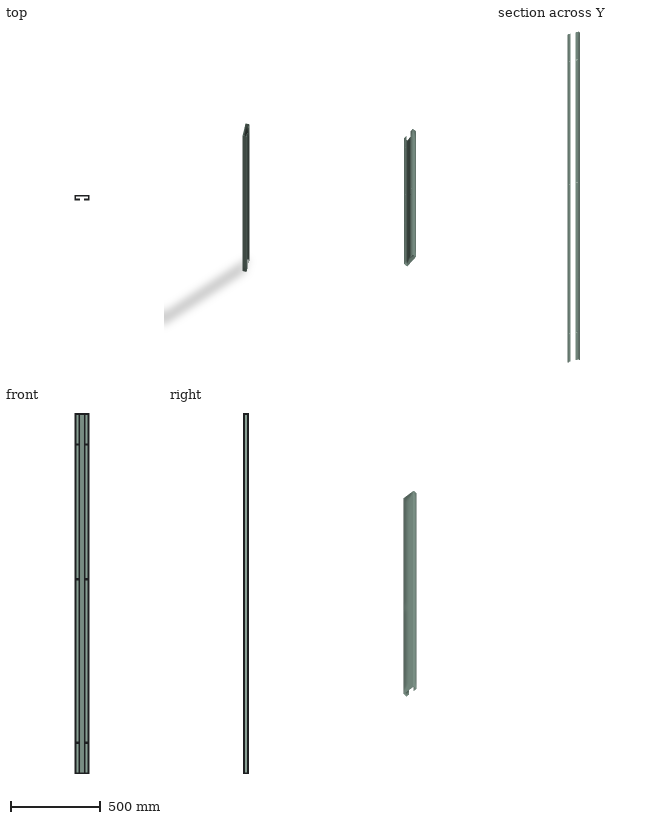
import cadquery as cq

WIDTH = 75.0
DEPTH = 23.0
LENGTH = 2000.0

THICKNESS = 1.25
SLOT_WIDTH = 33.0
INNER_RADIUS = 0.5
OUTER_RADIUS = INNER_RADIUS + THICKNESS

HOLE_DIAMETER = 5.0
HOLE_EDGE_DISTANCE = 12.0
END_HOLE_DISTANCE = 170.0
MIDDLE_HOLE_HEIGHT = 1080.0
HOLE_HEIGHTS = (END_HOLE_DISTANCE, MIDDLE_HOLE_HEIGHT, LENGTH - END_HOLE_DISTANCE)


def rounded_bar(width, depth, radius):
    """Full-length bar, centred in X and Y, with rounded long edges."""
    bar = cq.Workplane("XY").rect(width, depth).extrude(LENGTH)
    return bar.edges("|Z").fillet(radius)


def channel():
    """C-shaped channel, open along the middle of its -Y face."""
    outside = rounded_bar(WIDTH, DEPTH, OUTER_RADIUS)
    inside = rounded_bar(WIDTH - 2 * THICKNESS, DEPTH - 2 * THICKNESS, INNER_RADIUS)
    slot = (
        cq.Workplane("XY")
        .center(0, -DEPTH / 4)
        .rect(SLOT_WIDTH, DEPTH / 2)
        .extrude(LENGTH)
    )
    return outside.cut(inside).cut(slot)


def lip_holes():
    """Pairs of round cutters reaching from the -Y face to mid-depth."""
    hole_x = WIDTH / 2 - HOLE_EDGE_DISTANCE
    centres = [(side * hole_x, height) for height in HOLE_HEIGHTS for side in (-1, 1)]
    return (
        cq.Workplane("XZ")
        .pushPoints(centres)
        .circle(HOLE_DIAMETER / 2)
        .extrude(DEPTH / 2)
    )


result = channel().cut(lip_holes())